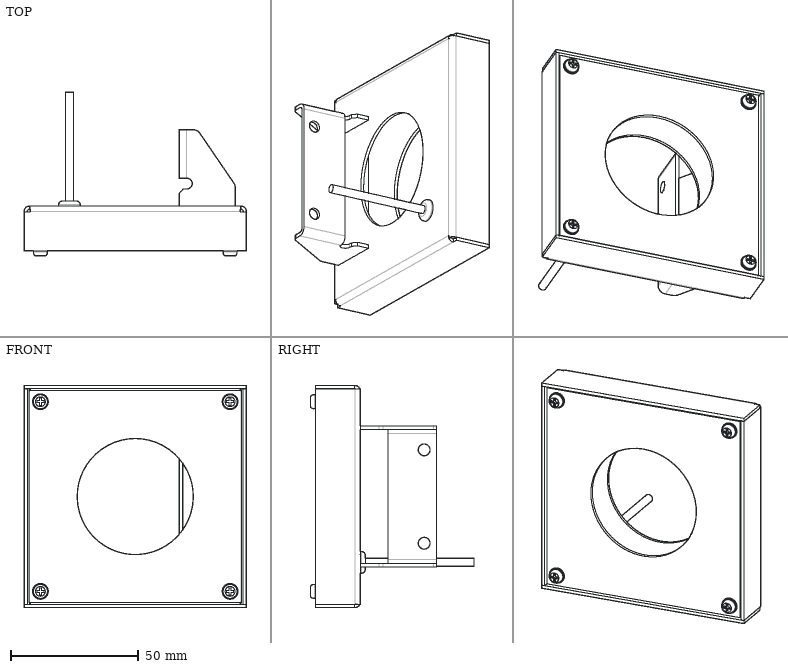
import cadquery as cq
import math


SIZE = 87.3
DEPTH = 17.6
SHEET = 1.3
BEND_INNER = 0.9
BEND_OUTER = BEND_INNER + SHEET
CORNER_RELIEF = 2.35
WALL_GAP = 0.04
BORE_DIAMETER = 45.5

BRACKET_HEIGHT = 55.4
BRACKET_LEFT = 17.2
BRACKET_RIGHT = 39.3
BRACKET_BACK = 47.6
BRACKET_SHEET = 1.5
BRACKET_BEND = 3.0
WEB_FRONT = 28.45
SLOT_WIDTH = 4.1
SLOT_TIP = 22.3
SLOT_CHAMFER = 1.75
SLANT_START_Y = 25.8
SLANT_END_X = 24.4
SLANT_FILLET = 3.0
WEB_HOLE_DIAMETER = 4.5
WEB_HOLE_Y = 42.7
WEB_HOLE_SPACING = 36.65

CABLE_OFFSET = -25.8
CABLE_DIAMETER = 3.2
CABLE_END = 62.3
GROMMET_DIAMETER = 8.6
GROMMET_TOP_DIAMETER = 5.4
GROMMET_RIM = 0.5
GROMMET_HEIGHT = 2.0

DOME_BULGE = 0.18

PLATE_SIZE = 83.3
PLATE_THICKNESS = 1.4
PLATE_RECESS = 0.7

SCREW_SPACING = 74.4
SCREW_FRONT = -2.0
WASHER_DIAMETER = 6.2
WASHER_THICKNESS = PLATE_RECESS
HEAD_DIAMETER = 5.5
HEAD_RIM = 0.35
HEAD_TOP_DIAMETER = 3.8
CROSS_LENGTH = 2.8
CROSS_WIDTH = 0.8
CROSS_DEPTH = 0.9


def box(x, y, z):
    """Block between the given (low, high) pairs."""
    block = cq.Workplane("XY").box(x[1] - x[0], y[1] - y[0], z[1] - z[0], centered=False)
    return block.translate((x[0], y[0], z[0]))


def cylinder_y(diameter, start, end, x=0, z=0):
    """Cylinder along Y from start to end."""
    axis_point = cq.Vector(x, start, z)
    return cq.Workplane(cq.Solid.makeCylinder(diameter / 2, end - start, axis_point, cq.Vector(0, 1, 0)))


def top_wall(wall_length, bend_length):
    """Upper wall with the bend that leads into the back panel."""
    outside = SIZE / 2
    inside = outside - SHEET
    bend_center_y = DEPTH - BEND_OUTER
    bend_center_z = outside - BEND_OUTER
    relief_y = DEPTH - CORNER_RELIEF
    diagonal = math.sqrt(0.5)
    wall = box((-wall_length / 2, wall_length / 2), (0, relief_y), (inside, outside))
    bend = (
        cq.Workplane("YZ", origin=(-bend_length / 2, 0, 0))
        .moveTo(relief_y, outside)
        .lineTo(bend_center_y, outside)
        .threePointArc(
            (bend_center_y + BEND_OUTER * diagonal, bend_center_z + BEND_OUTER * diagonal),
            (DEPTH, bend_center_z),
        )
        .lineTo(DEPTH - SHEET, bend_center_z)
        .threePointArc(
            (bend_center_y + BEND_INNER * diagonal, bend_center_z + BEND_INNER * diagonal),
            (bend_center_y, inside),
        )
        .lineTo(relief_y, inside)
        .close()
        .extrude(bend_length)
    )
    return wall.union(bend)


def make_tray():
    """Back panel with four bent-up walls; the upper and lower walls span the full width."""
    panel_half = SIZE / 2 - BEND_OUTER
    tray = box((-panel_half, panel_half), (DEPTH - SHEET, DEPTH), (-panel_half, panel_half))
    side_length = SIZE - 2 * (SHEET + WALL_GAP)
    relieved_length = SIZE - 2 * CORNER_RELIEF
    upper = top_wall(SIZE, relieved_length)
    side = top_wall(side_length, side_length)
    for wall, angle in ((upper, 0), (side, 90), (upper, 180), (side, 270)):
        tray = tray.union(wall.rotate((0, 0, 0), (0, 1, 0), angle))
    return tray.cut(cylinder_y(BORE_DIAMETER, 0, DEPTH))


def make_bracket():
    """U-shaped bracket: a web with two holes between two slanted flanges."""
    half = BRACKET_HEIGHT / 2
    slot_radius = SLOT_WIDTH / 2
    slot_center_x = SLOT_TIP - slot_radius
    slot_front = WEB_FRONT - SLOT_WIDTH

    inner_half = half - BRACKET_SHEET
    web_inner = BRACKET_LEFT + BRACKET_SHEET

    channel = box((BRACKET_LEFT, BRACKET_RIGHT), (WEB_FRONT, BRACKET_BACK), (-half, half))
    channel = channel.edges("|Y and <X").fillet(BRACKET_BEND)
    hollow = box((web_inner, BRACKET_RIGHT), (WEB_FRONT, BRACKET_BACK), (-inner_half, inner_half))
    channel = channel.cut(hollow.edges("|Y and <X").fillet(BRACKET_BEND - BRACKET_SHEET))

    for flange_z in ((-half, -inner_half), (inner_half, half)):
        channel = channel.union(box((BRACKET_LEFT, BRACKET_RIGHT), (DEPTH, WEB_FRONT), flange_z))

    outline = (
        cq.Workplane("XY", origin=(0, 0, -half))
        .moveTo(BRACKET_LEFT, DEPTH)
        .lineTo(BRACKET_RIGHT, DEPTH)
        .lineTo(BRACKET_RIGHT, SLANT_START_Y)
        .lineTo(SLANT_END_X, BRACKET_BACK)
        .lineTo(BRACKET_LEFT, BRACKET_BACK)
        .lineTo(BRACKET_LEFT, WEB_FRONT)
        .lineTo(slot_center_x, WEB_FRONT)
        .threePointArc((SLOT_TIP, WEB_FRONT - slot_radius), (slot_center_x, slot_front))
        .lineTo(BRACKET_LEFT + SLOT_CHAMFER, slot_front)
        .lineTo(BRACKET_LEFT, slot_front - SLOT_CHAMFER)
        .close()
        .extrude(BRACKET_HEIGHT)
    )
    for corner in ((BRACKET_RIGHT, SLANT_START_Y, 0), (SLANT_END_X, BRACKET_BACK, 0)):
        outline = outline.edges(cq.selectors.NearestToPointSelector(corner)).fillet(SLANT_FILLET)

    web_holes = (
        cq.Workplane("YZ", origin=(BRACKET_LEFT, 0, 0))
        .pushPoints([(WEB_HOLE_Y, side * WEB_HOLE_SPACING / 2) for side in (-1, 1)])
        .circle(WEB_HOLE_DIAMETER / 2)
        .extrude(BRACKET_SHEET)
    )
    return channel.intersect(outline).cut(web_holes)


def domed_button(diameter, top_diameter, rim, height):
    """Round button on the plane Y = 0, facing +Y, with a straight rim and a domed shoulder."""
    rim_radius = diameter / 2
    top_radius = top_diameter / 2
    run = rim_radius - top_radius
    rise = height - rim
    shoulder_mid = (
        rim_radius - run / 2 + DOME_BULGE * rise,
        rim + rise / 2 + DOME_BULGE * run,
    )
    return (
        cq.Workplane("XY")
        .lineTo(rim_radius, 0)
        .lineTo(rim_radius, rim)
        .threePointArc(shoulder_mid, (top_radius, height))
        .lineTo(0, height)
        .close()
        .revolve(360, (0, 0, 0), (0, 1, 0))
    )


def make_cable():
    """Cable leaving the back panel through a domed grommet."""
    grommet = domed_button(GROMMET_DIAMETER, GROMMET_TOP_DIAMETER, GROMMET_RIM, GROMMET_HEIGHT)
    grommet = grommet.translate((CABLE_OFFSET, DEPTH, CABLE_OFFSET))
    return grommet.union(cylinder_y(CABLE_DIAMETER, DEPTH, CABLE_END, CABLE_OFFSET, CABLE_OFFSET))


def make_housing():
    """Tray with the bracket and the cable fixed to its back, as one body."""
    return make_tray().union(make_bracket()).union(make_cable())


def make_cover_plate():
    """Flat plate set back inside the walls, with the same bore as the back panel."""
    half = PLATE_SIZE / 2
    back = PLATE_RECESS + PLATE_THICKNESS
    plate = box((-half, half), (PLATE_RECESS, back), (-half, half))
    return plate.cut(cylinder_y(BORE_DIAMETER, PLATE_RECESS, back))


def make_screw(x, z):
    """Pan head with a cross recess on a washer that rests on the cover plate."""
    washer_front = PLATE_RECESS - WASHER_THICKNESS
    washer = cylinder_y(WASHER_DIAMETER, washer_front, PLATE_RECESS)
    head = domed_button(HEAD_DIAMETER, HEAD_TOP_DIAMETER, HEAD_RIM, washer_front - SCREW_FRONT)
    head = head.rotate((0, 0, 0), (1, 0, 0), 180).translate((0, washer_front, 0))
    screw = washer.union(head)
    long_half = CROSS_LENGTH / 2
    short_half = CROSS_WIDTH / 2
    for half_x, half_z in ((long_half, short_half), (short_half, long_half)):
        arm = box((-half_x, half_x), (SCREW_FRONT, SCREW_FRONT + CROSS_DEPTH), (-half_z, half_z))
        screw = screw.cut(arm)
    return screw.translate((x, 0, z))


housing = make_housing()
cover_plate = make_cover_plate()
screws = [
    make_screw(side_x * SCREW_SPACING / 2, side_z * SCREW_SPACING / 2)
    for side_x in (-1, 1)
    for side_z in (-1, 1)
]

result = cq.Compound.makeCompound([housing.val(), cover_plate.val(), *[screw.val() for screw in screws]])